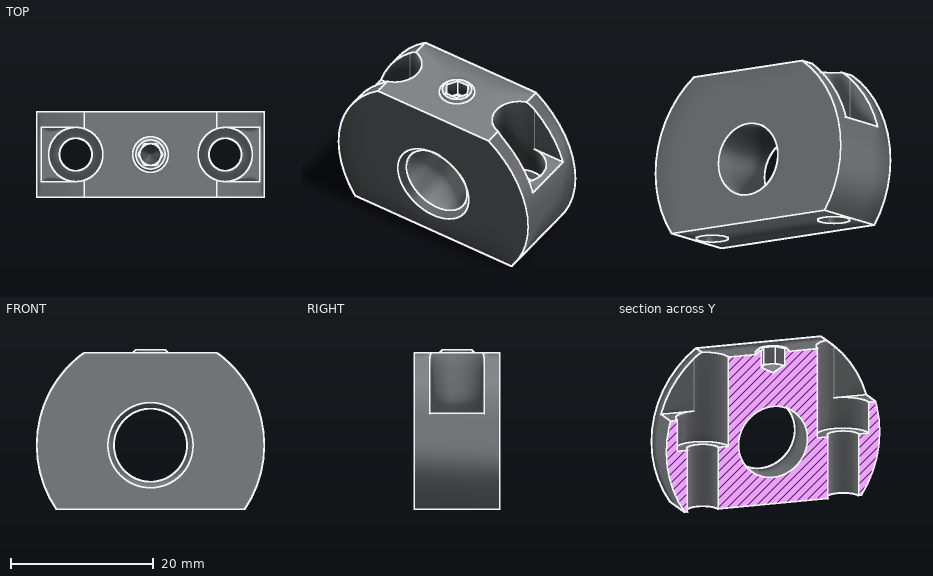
import cadquery as cq
import math

outer_diameter = 31.9
thickness = 12.0
bottom_z = -9.0
top_z = 12.95
height = top_z - bottom_z

bore_diameter = 10.2
bore_mouth_diameter = 11.93
bore_chamfer = (bore_mouth_diameter - bore_diameter) / 2

bolt_offset = 10.45
bolt_hole_diameter = 4.53
head_pocket_width = 7.6
head_pocket_depth = top_z
side_opening_depth = 8.48

screw_diameter = 4.97
screw_protrusion = 0.45
screw_chamfer = screw_protrusion
socket_across_flats = 3.0
socket_depth = 2.5
socket_tip_depth = 0.85


def make_body():
    """Disc cut by flats at top and bottom, with a bore chamfered on its front side."""
    disc = cq.Workplane("XZ").circle(outer_diameter / 2).extrude(thickness / 2, both=True)
    envelope = cq.Workplane("XY", origin=(0, 0, bottom_z)).box(
        outer_diameter, thickness, height, centered=(True, True, False)
    )
    bore = cq.Workplane("XZ").circle(bore_diameter / 2).extrude(thickness / 2, both=True)
    body = disc.intersect(envelope).cut(bore)
    return body.faces("<Y").edges("%CIRCLE").edges(
        cq.selectors.RadiusNthSelector(0)
    ).chamfer(bore_chamfer)


def make_bolt_cut(side):
    """Vertical bolt hole and head pocket whose upper part opens to the outer side."""
    x = side * bolt_offset
    opening_length = outer_diameter / 2 - bolt_offset
    top_plane = cq.Workplane("XY", origin=(x, 0, top_z))
    hole = top_plane.circle(bolt_hole_diameter / 2).extrude(-height)
    pocket = top_plane.circle(head_pocket_width / 2).extrude(-head_pocket_depth)
    opening = (
        top_plane.center(side * opening_length / 2, 0)
        .rect(opening_length, head_pocket_width)
        .extrude(-side_opening_depth)
    )
    return hole.union(pocket).union(opening)


def make_set_screw_tip():
    """Chamfered screw end standing above the top flat."""
    return (
        cq.Workplane("XY", origin=(0, 0, top_z))
        .circle(screw_diameter / 2)
        .workplane(offset=screw_protrusion)
        .circle(screw_diameter / 2 - screw_chamfer)
        .loft()
    )


def make_socket():
    """Hexagonal socket with a conical bottom."""
    across_corners = socket_across_flats / math.cos(math.pi / 6)
    screw_top_z = top_z + screw_protrusion
    hexagon = cq.Workplane("XY", origin=(0, 0, screw_top_z)).polygon(6, across_corners).extrude(-socket_depth)
    cone = cq.Workplane(
        cq.Solid.makeCone(
            socket_across_flats / 2,
            0,
            socket_tip_depth,
            pnt=cq.Vector(0, 0, screw_top_z - socket_depth),
            dir=cq.Vector(0, 0, -1),
        )
    )
    return hexagon.union(cone)


result = make_body()
for side in (-1, 1):
    result = result.cut(make_bolt_cut(side))
result = result.union(make_set_screw_tip()).cut(make_socket())